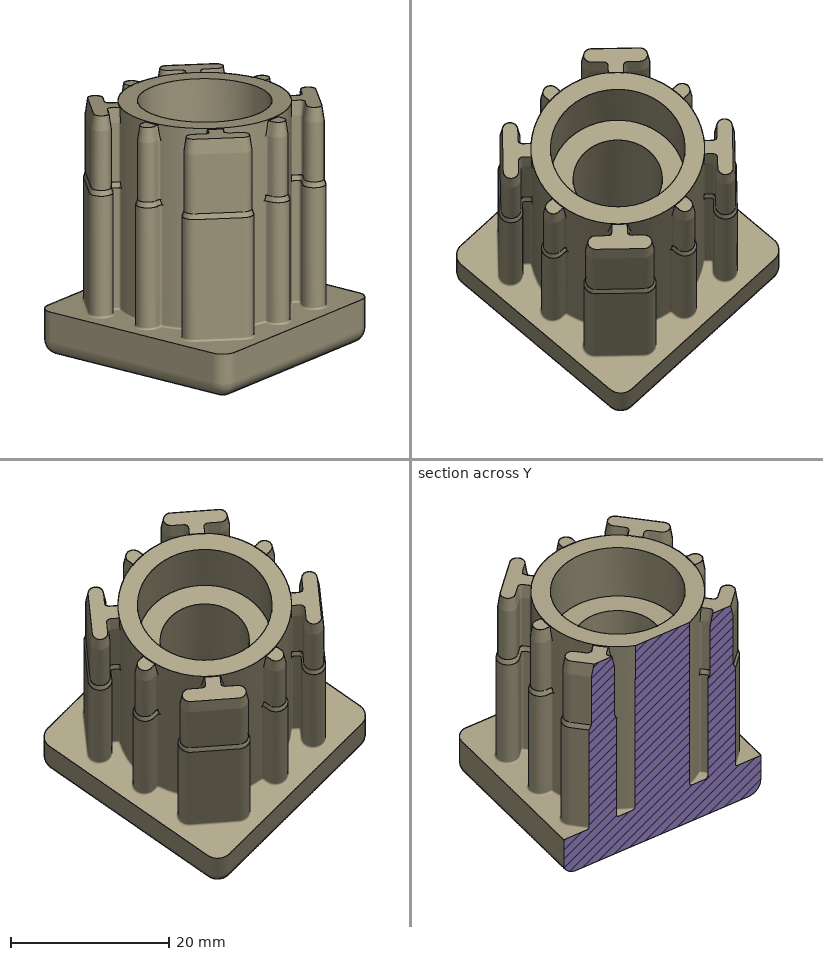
import cadquery as cq
import math

flange_side = 30.0
flange_thickness = 6.0
flange_radius = 1.98
bottom_radius = 1.95

total_height = 33.0
tube_radius = 11.0
bore_radius = 8.5
bore_depth = 8.0
hole_radius = 5.65
root_overlap = 0.005
upper_root_radius = tube_radius - root_overlap

lower_thickness = 3.0
upper_thickness = 2.55
tip_thickness = 1.95
rib_reach = 13.25
head_length = 6.15
valley_radius = 0.3
foot_radius = 0.25

step_bottom = 22.3
step_top = 23.0
tip_bottom = 30.9
tip_top = 32.87

end_centre = rib_reach - lower_thickness / 2
head_distance = math.sqrt(2) * end_centre - head_length / 2


def rib_section(thickness, root_radius):
    """Outline of all the ribs around a solid core, with the inner corners rounded."""
    base = cq.Workplane("XY")
    slab_height = 0.33
    slab = base.circle(root_radius).extrude(slab_height)
    side_length = end_centre + thickness / 2
    side_rib = base.center(side_length / 2, 0).slot2D(side_length, thickness).extrude(slab_height)
    web = base.center(head_distance / 2, 0).rect(head_distance, thickness).extrude(slab_height)
    head = base.center(head_distance, 0).slot2D(head_length + thickness, thickness, 90).extrude(slab_height)
    corner_rib = web.union(head).rotate((0, 0, 0), (0, 0, 1), 45)
    for quarter in range(4):
        ribs = side_rib.union(corner_rib)
        slab = slab.union(ribs.rotate((0, 0, 0), (0, 0, 1), 90 * quarter))

    outline = slab.clean().faces("<Z").val().outerWire()
    return outline.offset2D(valley_radius)[0].offset2D(-valley_radius)[0]


def rib_layer(bottom, top, bottom_thickness, top_thickness, root_radius):
    """Core and ribs between two heights, with the rib thickness changing evenly."""
    height = top - bottom
    taper = math.degrees(math.atan((bottom_thickness - top_thickness) / 2 / height))
    outline = rib_section(bottom_thickness, root_radius).translate(cq.Vector(0, 0, bottom))
    return cq.Workplane("XY", origin=(0, 0, bottom)).add(outline).toPending().extrude(height, taper=taper)


def flange():
    plate = cq.Workplane("XY").rect(flange_side, flange_side).extrude(flange_thickness)
    return plate.edges("|Z").fillet(flange_radius).faces("<Z").edges().fillet(bottom_radius)


def foot_edges():
    """Selector for the edges where the tube and ribs stand on the flange."""
    inside = flange_side / 2 - foot_radius
    low = flange_thickness - foot_radius
    high = flange_thickness + foot_radius
    return cq.selectors.BoxSelector((-inside, -inside, low), (inside, inside, high), boundingbox=True)


lower_part = rib_layer(flange_thickness, step_bottom, lower_thickness, lower_thickness, tube_radius)
lower_part = flange().union(lower_part).edges(foot_edges()).fillet(foot_radius)

upper_layers = [
    (step_bottom, step_top, lower_thickness, upper_thickness),
    (step_top, tip_bottom, upper_thickness, upper_thickness),
    (tip_bottom, tip_top, upper_thickness, tip_thickness),
]
upper_tube_height = total_height - step_bottom
upper_part = cq.Workplane("XY", origin=(0, 0, step_bottom)).circle(tube_radius).extrude(upper_tube_height)
for bottom, top, bottom_thickness, top_thickness in upper_layers:
    upper_part = upper_part.union(rib_layer(bottom, top, bottom_thickness, top_thickness, upper_root_radius))

body = lower_part.union(upper_part)

hole = cq.Workplane("XY").circle(hole_radius).extrude(total_height)
bore = cq.Workplane("XY", origin=(0, 0, total_height - bore_depth)).circle(bore_radius).extrude(bore_depth)
result = body.cut(hole).cut(bore)